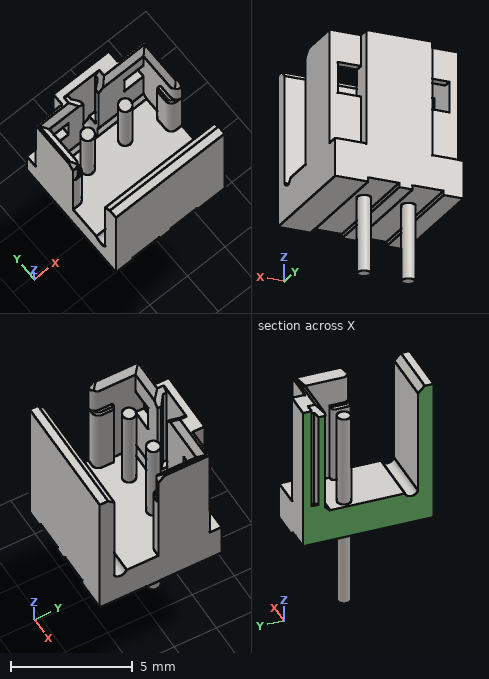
import cadquery as cq

WIDTH = 5.79
DEPTH = 5.8
HEIGHT = 6.8
FLOOR_Z = 1.7
HALF_WIDTH = WIDTH / 2
EDGE_CHAMFER = 0.3

FRONT_WALL = 0.7
SIDE_WALL = 0.39
SIDE_WALL_FRONT_Y = 2.78
BACK_INNER_Y = 4.8
BACK_OUTER_Y = 5.22
BACK_FOOT_CHAMFER = 0.2
CAVITY_HALF_WIDTH = HALF_WIDTH - SIDE_WALL
WALL_END_RADIUS = 0.3

GROOVE_WIDTH = 0.58
GROOVE_DEPTH = 0.2

BOSS_HALF_WIDTH = 1.48
WINDOW_BOTTOM_Z = 4.03
WINDOW_TOP_Z = 5.4

PIN_RADIUS = 0.3
PIN_PITCH = 2.0
PIN_CENTER_X = -0.29
PIN_Y = 3.8
PIN_TOP_Z = 5.9
PIN_BOTTOM_Z = HEIGHT - 10.0
PIN_X_POSITIONS = (PIN_CENTER_X - PIN_PITCH / 2, PIN_CENTER_X + PIN_PITCH / 2)
CHANNEL_WIDTH = 1.4
CHANNEL_DEPTH = 0.19

KEY_BACK_Y = 5.41
KEY_SHOULDER_Y = 5.24
KEY_LIP_Y = 4.98
KEY_BACK_HALF_WIDTH = 0.71
KEY_MOUTH_RADIUS = 0.4
KEY_TOP_HALF_WIDTH = 0.94

RIB_PROJECTION = 0.23
RIB_BACK_Y = 3.71
RIB_TOP_Z = 5.26
RIB_BACK_RADIUS = 0.12
RIB_TOP_CHAMFER = 0.09


def box(x0, x1, y0, y1, z0, z1):
    return cq.Workplane("XY").box(x1 - x0, y1 - y0, z1 - z0, centered=False).translate((x0, y0, z0))


def both_sides(left):
    return left.union(left.mirror("YZ"))


def cross_slot():
    """Open slot across X, with flared top edges and a round relief groove."""
    groove_end = FRONT_WALL + GROOVE_WIDTH
    groove_middle = FRONT_WALL + GROOVE_WIDTH / 2
    return (
        cq.Workplane("YZ")
        .moveTo(FRONT_WALL - EDGE_CHAMFER, HEIGHT)
        .lineTo(FRONT_WALL, HEIGHT - EDGE_CHAMFER)
        .lineTo(FRONT_WALL, FLOOR_Z)
        .threePointArc((groove_middle, FLOOR_Z - GROOVE_DEPTH), (groove_end, FLOOR_Z))
        .lineTo(SIDE_WALL_FRONT_Y, FLOOR_Z)
        .lineTo(SIDE_WALL_FRONT_Y, HEIGHT - EDGE_CHAMFER)
        .lineTo(SIDE_WALL_FRONT_Y + EDGE_CHAMFER, HEIGHT)
        .close()
        .extrude(HALF_WIDTH, both=True)
    )


def cavity():
    """Space between the side walls, flared at the top and narrowed at the back foot."""
    front_y = (FRONT_WALL + SIDE_WALL_FRONT_Y) / 2
    length = BACK_INNER_Y - front_y
    straight = (
        cq.Workplane("YZ")
        .moveTo(front_y, FLOOR_Z)
        .lineTo(BACK_INNER_Y - BACK_FOOT_CHAMFER, FLOOR_Z)
        .lineTo(BACK_INNER_Y, FLOOR_Z + BACK_FOOT_CHAMFER)
        .lineTo(BACK_INNER_Y, HEIGHT)
        .lineTo(front_y, HEIGHT)
        .close()
        .extrude(CAVITY_HALF_WIDTH, both=True)
    )
    flare = (
        cq.Workplane("XY", origin=(0, front_y + length / 2, HEIGHT))
        .rect(2 * (CAVITY_HALF_WIDTH + EDGE_CHAMFER), length + 2 * EDGE_CHAMFER)
        .extrude(-EDGE_CHAMFER, taper=45)
    )
    return straight.union(flare)


def wall_end_rounding():
    """Waste outside the rounded inner front corner of the left side wall."""
    corner_x = -CAVITY_HALF_WIDTH
    r = WALL_END_RADIUS
    block = box(corner_x - r, corner_x, SIDE_WALL_FRONT_Y, SIDE_WALL_FRONT_Y + r, FLOOR_Z, HEIGHT)
    keep = (
        cq.Workplane("XY", origin=(corner_x - r, SIDE_WALL_FRONT_Y + r, FLOOR_Z))
        .circle(r)
        .extrude(HEIGHT - FLOOR_Z)
    )
    return block.cut(keep)


def guide_rib():
    """Left rib, with rounded corners and a chamfered top edge."""
    inner_x = -CAVITY_HALF_WIDTH + RIB_PROJECTION
    outer_x = -CAVITY_HALF_WIDTH - WALL_END_RADIUS
    return (
        box(outer_x, inner_x, SIDE_WALL_FRONT_Y, RIB_BACK_Y, FLOOR_Z, RIB_TOP_Z)
        .edges("|Z and >X and <Y")
        .fillet(WALL_END_RADIUS)
        .faces(">Z")
        .edges(">X")
        .chamfer(RIB_TOP_CHAMFER)
        .edges("|Z and >X and >Y")
        .fillet(RIB_BACK_RADIUS)
    )


def key_slot():
    """Slot with a narrow mouth, a wide back, a round bottom and a sloped lead-in."""
    trough_axis_z = FLOOR_Z + KEY_MOUTH_RADIUS
    front_y = BACK_INNER_Y - BACK_FOOT_CHAMFER
    left_half = [
        (-KEY_MOUTH_RADIUS, front_y),
        (-KEY_MOUTH_RADIUS, KEY_LIP_Y),
        (-KEY_BACK_HALF_WIDTH, KEY_SHOULDER_Y),
        (-KEY_BACK_HALF_WIDTH, KEY_BACK_Y),
    ]
    right_half = [(-x, y) for x, y in reversed(left_half)]
    slot = (
        cq.Workplane("XY", origin=(0, 0, trough_axis_z))
        .polyline(left_half + right_half)
        .close()
        .extrude(HEIGHT - trough_axis_z)
    )
    trough = (
        cq.Workplane("XZ", origin=(0, KEY_BACK_Y, trough_axis_z))
        .circle(KEY_MOUTH_RADIUS)
        .extrude(KEY_BACK_Y - front_y)
    )
    lead_in_z = HEIGHT - (KEY_TOP_HALF_WIDTH - KEY_MOUTH_RADIUS)
    lead_in = (
        cq.Workplane("XZ", origin=(0, KEY_BACK_Y, 0))
        .polyline([
            (-KEY_TOP_HALF_WIDTH, HEIGHT),
            (-KEY_MOUTH_RADIUS, lead_in_z),
            (KEY_MOUTH_RADIUS, lead_in_z),
            (KEY_TOP_HALF_WIDTH, HEIGHT),
        ])
        .close()
        .extrude(KEY_BACK_Y - front_y)
    )
    return slot.union(trough).union(lead_in).translate((PIN_CENTER_X, 0, 0))


housing = box(-HALF_WIDTH, HALF_WIDTH, 0, DEPTH, 0, HEIGHT)
housing = housing.cut(cross_slot()).cut(cavity())

back_step = box(-HALF_WIDTH, -BOSS_HALF_WIDTH, BACK_OUTER_Y, DEPTH, FLOOR_Z, HEIGHT)
window = box(
    -CAVITY_HALF_WIDTH, -BOSS_HALF_WIDTH, BACK_INNER_Y, BACK_OUTER_Y, WINDOW_BOTTOM_Z, WINDOW_TOP_Z
)
housing = housing.cut(both_sides(back_step)).cut(both_sides(window))

housing = housing.cut(both_sides(wall_end_rounding()))
housing = housing.union(both_sides(guide_rib()))
housing = housing.cut(key_slot())

for pin_x in PIN_X_POSITIONS:
    channel = box(pin_x - CHANNEL_WIDTH / 2, pin_x + CHANNEL_WIDTH / 2, 0, DEPTH, 0, CHANNEL_DEPTH)
    pin = (
        cq.Workplane("XY", origin=(pin_x, PIN_Y, PIN_BOTTOM_Z))
        .circle(PIN_RADIUS)
        .extrude(PIN_TOP_Z - PIN_BOTTOM_Z)
    )
    housing = housing.cut(channel).union(pin)

result = housing